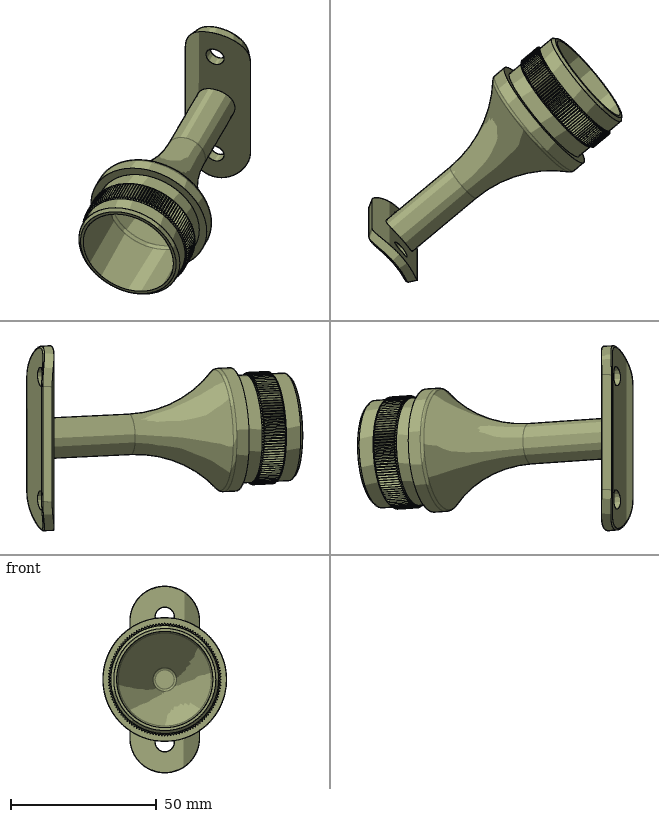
import cadquery as cq
import math


overall_length = 90.65

rail_radius = 21.2
plate_thickness = 3.8
plate_width = 23.9
plate_length = 64.0
plate_chamfer = 0.5
screw_hole_diameter = 6.5
screw_hole_spacing = 43.0
plate_outer_radius = rail_radius + plate_thickness

side_angle = math.asin(plate_width / 2 / plate_outer_radius)
chamfer_angle = plate_chamfer / rail_radius
rail_axis_y = overall_length + rail_radius * math.cos(side_angle - chamfer_angle)

stem_diameter = 14.0
flange_diameter = 42.4
plug_diameter = 37.0
plug_length = 20.0
flange_corner_y = 25.1
flare_top_y = 56.7
flange_rounding = 1.5
mouth_chamfer = 1.0

bore_diameter = 33.0
bore_end_fillet = 2.0
floor_rim_diameter = 8.1
floor_fillet = 0.77
wall_thickness = 3.5

knurl_diameter = 38.6
knurl_root_diameter = 37.2
knurl_teeth = 120
knurl_start_y = 6.1
knurl_length = 8.6

stem_radius = stem_diameter / 2
flange_radius = flange_diameter / 2
flare_length = flare_top_y - flange_corner_y
flare_rise = flange_radius - stem_radius
flare_radius = (flare_length**2 + flare_rise**2) / (2 * flare_rise)
flare_centre_x = stem_radius + flare_radius


def point_on_arc(arc_radius, x):
    """Point at distance x from the bracket axis on an arc about the flare centre."""
    return (x, flare_top_y - math.sqrt(arc_radius**2 - (flare_centre_x - x) ** 2))


def revolve_about_y(profile):
    return profile.close().revolve(360, (0, 0, 0), (0, 1, 0))


def circles_at(y):
    """Selector for the circular edges that lie in the plane at the given y."""
    reach = flange_diameter
    margin = 0.1
    return cq.selectors.BoxSelector(
        (-reach, y - margin, -reach), (reach, y + margin, reach), boundingbox=True
    )


def rail_cylinder(radius):
    """Cylinder about the rail axis, longer than the plate."""
    return (
        cq.Workplane("XY")
        .center(0, rail_axis_y)
        .circle(radius)
        .extrude(plate_length, both=True)
    )


def make_saddle_plate():
    outline = (
        cq.Workplane("XZ", origin=(0, rail_axis_y, 0))
        .slot2D(plate_length, plate_width, 90)
        .extrude(2 * plate_outer_radius)
    )
    outer_face = rail_cylinder(plate_outer_radius).intersect(outline).faces("<Y").val()
    plate = cq.Workplane(outer_face.thicken(-plate_thickness))

    rail_face = min(plate.faces("%CYLINDER").vals(), key=lambda face: face.Area())
    plate = plate.newObject(rail_face.Edges()).chamfer(plate_chamfer)

    screw_holes = (
        cq.Workplane("XZ")
        .pushPoints([(0, -screw_hole_spacing / 2), (0, screw_hole_spacing / 2)])
        .circle(screw_hole_diameter / 2)
        .extrude(-rail_axis_y)
    )
    return plate.cut(screw_holes)


def make_outer_form():
    """Plug, flange, flare and stem as one turned form, its stem saddled onto the plate."""
    plug_radius = plug_diameter / 2
    middle_x = (stem_radius + flange_radius) / 2
    form = revolve_about_y(
        cq.Workplane("XY")
        .lineTo(plug_radius, 0)
        .lineTo(plug_radius, plug_length)
        .lineTo(flange_radius, plug_length)
        .lineTo(flange_radius, flange_corner_y)
        .threePointArc(point_on_arc(flare_radius, middle_x), (stem_radius, flare_top_y))
        .lineTo(stem_radius, rail_axis_y)
        .lineTo(0, rail_axis_y)
    )
    form = form.faces("<Y").edges().chamfer(mouth_chamfer)
    form = form.edges(circles_at(flange_corner_y)).fillet(flange_rounding)
    return form.cut(rail_cylinder(plate_outer_radius))


def make_knurl():
    """Band of pointed teeth, bevelled at both ends down to the plug."""
    tip_radius = knurl_diameter / 2
    root_radius = knurl_root_diameter / 2
    half_pitch = math.pi / knurl_teeth
    outline = []
    for corner in range(2 * knurl_teeth):
        radius = root_radius if corner % 2 else tip_radius
        angle = corner * half_pitch
        outline.append((radius * math.cos(angle), radius * math.sin(angle)))
    teeth = (
        cq.Workplane("XZ", origin=(0, knurl_start_y, 0))
        .polyline(outline)
        .close()
        .extrude(-knurl_length)
    )
    bevelled_band = (
        cq.Workplane("XZ", origin=(0, knurl_start_y, 0))
        .circle(tip_radius)
        .extrude(-knurl_length)
        .edges("%CIRCLE")
        .chamfer((knurl_diameter - plug_diameter) / 2)
    )
    return teeth.intersect(bevelled_band)


def make_cavity():
    """Bore from the mouth, narrowing behind the flare to a small floor with a filleted rim."""
    bore_radius = bore_diameter / 2
    floor_radius = floor_rim_diameter / 2
    cavity_arc_radius = flare_radius + wall_thickness
    bore_end = point_on_arc(cavity_arc_radius, bore_radius)
    arc_middle = point_on_arc(cavity_arc_radius, (bore_radius + floor_radius) / 2)
    arc_end = point_on_arc(cavity_arc_radius, floor_radius)
    floor_y = arc_end[1] + floor_fillet
    cavity = revolve_about_y(
        cq.Workplane("XY")
        .lineTo(bore_radius, 0)
        .lineTo(*bore_end)
        .threePointArc(arc_middle, arc_end)
        .radiusArc((floor_radius - floor_fillet, floor_y), -floor_fillet)
        .lineTo(0, floor_y)
    )
    return cavity.edges(circles_at(bore_end[1])).fillet(bore_end_fillet)


def make_fitting():
    return make_outer_form().union(make_knurl()).cut(make_cavity())


saddle_plate = make_saddle_plate()
fitting = make_fitting()

result = cq.Compound.makeCompound([*saddle_plate.solids().vals(), *fitting.solids().vals()])